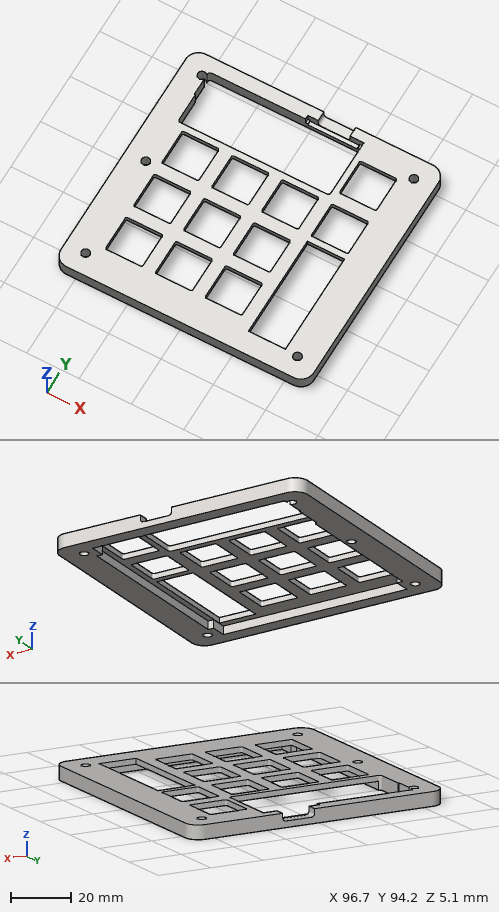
import cadquery as cq

LENGTH = 96.7
WIDTH = 94.2
HEIGHT = 5.1
CORNER_RADIUS = 4.9
PLATE_THICKNESS = 2.0
SIDE_RIM = 10.4
END_RIM = 5.4
CAVITY_X = LENGTH / 2 - SIDE_RIM
CAVITY_Y = WIDTH / 2 - END_RIM
CAVITY_HEIGHT = HEIGHT - PLATE_THICKNESS

KEY_PITCH = 19.1
KEY_SIZE = 14.1
KEY_CORNER_RADIUS = 0.6
KEY_COLUMNS = [(i - 1.5) * KEY_PITCH for i in range(4)]
TOP_ROW_Y = 29.5
KEY_ROWS = [TOP_ROW_Y - i * KEY_PITCH for i in range(4)]
TALL_KEY_HEIGHT = 39.85
TALL_KEY_Y = -19.0

WINDOW_LEFT = -38.8
WINDOW_RIGHT = 19.15
WINDOW_BOTTOM = 20.0
WINDOW_TOP = CAVITY_Y
WIDE_WINDOW_LEFT = -39.2
WINDOW_STEP_Y = 31.8
WINDOW_CORNER_RADIUS = 1.0

SCREW_DIAMETER = 3.2
SCREW_X = 40.5
SCREW_Y = 39.4
MIDDLE_SCREW_Y = 1.4
BLOCK_INNER_X = 35.8
BLOCK_INNER_Y = 35.5

NOTCH_LEFT = 1.7
NOTCH_RIGHT = 13.9
NOTCH_DEPTH = 2.8
NOTCH_FILLET = 1.3
LEDGE_LEFT = -2.2
LEDGE_DEPTH = 2.5
RECESS_LEFT = -1.4
RECESS_RIGHT = 17.6
RECESS_DEPTH = 3.1
RECESS_WIDTH_Y = 1.5


def block(x_min, x_max, y_min, y_max, z_min, z_max):
    """Box given by its limits along each axis."""
    size = (x_max - x_min, y_max - y_min, z_max - z_min)
    return cq.Workplane("XY").box(*size, centered=False).translate((x_min, y_min, z_min))


def tray():
    """Rounded plate hollowed from below, with a filled block in each cavity corner."""
    body = cq.Workplane("XY").box(LENGTH, WIDTH, HEIGHT, centered=(True, True, False))
    body = body.edges("|Z").fillet(CORNER_RADIUS)
    body = body.cut(block(-CAVITY_X, CAVITY_X, -CAVITY_Y, CAVITY_Y, 0, CAVITY_HEIGHT))
    back_right = block(BLOCK_INNER_X, CAVITY_X, BLOCK_INNER_Y, CAVITY_Y, 0, CAVITY_HEIGHT)
    front_right = back_right.mirror("XZ")
    for corner in (back_right, front_right, back_right.mirror("YZ"), front_right.mirror("YZ")):
        body = body.union(corner)
    return body


def key_openings():
    """Three by three keys, two more in the right column and one tall key below them."""
    centers = [(x, y) for x in KEY_COLUMNS[:3] for y in KEY_ROWS[1:]]
    centers += [(KEY_COLUMNS[3], y) for y in KEY_ROWS[:2]]
    keys = cq.Workplane("XY").pushPoints(centers).rect(KEY_SIZE, KEY_SIZE).extrude(HEIGHT)
    keys = keys.edges("|Z").fillet(KEY_CORNER_RADIUS)
    tall_key = (
        cq.Workplane("XY")
        .center(KEY_COLUMNS[3], TALL_KEY_Y)
        .rect(KEY_SIZE, TALL_KEY_HEIGHT)
        .extrude(HEIGHT)
    )
    return keys.union(tall_key)


def display_window():
    """Rounded opening whose upper left part is slightly wider."""
    main = block(WINDOW_LEFT, WINDOW_RIGHT, WINDOW_BOTTOM, WINDOW_TOP, 0, HEIGHT)
    main = main.edges("|Z").fillet(WINDOW_CORNER_RADIUS)
    widened = block(WIDE_WINDOW_LEFT, 0, WINDOW_STEP_Y, WINDOW_TOP, 0, HEIGHT)
    widened = widened.edges("|Z and <X and >Y").fillet(WINDOW_CORNER_RADIUS)
    return main.union(widened)


def screw_holes():
    """Through holes in the four corners and halfway along the left side."""
    centers = [(x, y) for x in (-SCREW_X, SCREW_X) for y in (-SCREW_Y, SCREW_Y)]
    centers.append((-SCREW_X, MIDDLE_SCREW_Y))
    return cq.Workplane("XY").pushPoints(centers).circle(SCREW_DIAMETER / 2).extrude(HEIGHT)


def cable_exit():
    """Notch with rounded lower corners through the back rim, and the stepped recess before it."""
    recess_back = WINDOW_TOP + RECESS_WIDTH_Y
    recess_front = WINDOW_TOP - WINDOW_CORNER_RADIUS
    notch = block(NOTCH_LEFT, NOTCH_RIGHT, recess_front, WIDTH / 2, HEIGHT - NOTCH_DEPTH, HEIGHT)
    notch = notch.edges("|Y and <Z").fillet(NOTCH_FILLET)
    ledge = block(LEDGE_LEFT, WINDOW_RIGHT, recess_front, recess_back, HEIGHT - LEDGE_DEPTH, HEIGHT)
    recess = block(RECESS_LEFT, RECESS_RIGHT, recess_front, recess_back, HEIGHT - RECESS_DEPTH, HEIGHT)
    return notch.union(ledge).union(recess)


result = tray()
for opening in (key_openings(), display_window(), screw_holes(), cable_exit()):
    result = result.cut(opening)